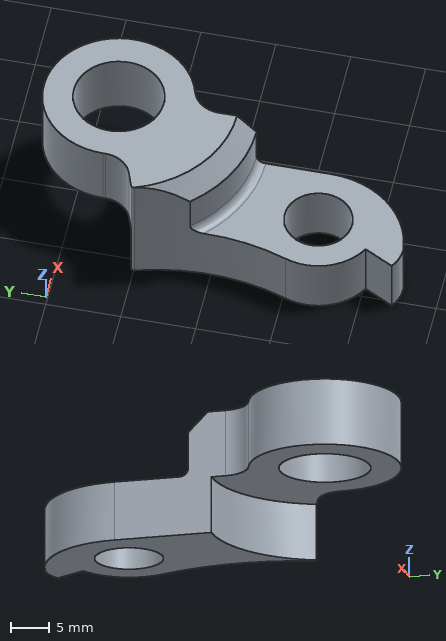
import cadquery as cq
import math


total_height = 16.64
ring_thickness = 9.0
plate_thickness = 8.0

ring_radius = 10.0
ring_hole_radius = 6.0
neck_fillet = 4.0
neck_straight = 0.3

boss_x = -8.0
boss_y = -28.37
boss_radius = 8.0
boss_hole_radius = 4.5

waist_x = -13.5
waist_y = -14.6
corner_y = -4.92
corner_fillet = 0.4

hook_radius = 12.0
hook_blend_x = -10.2
nose_radius = 5.0
hook_tip_x = -13.8
notch_x = -11.7

shoulder_radius = 18.4
shoulder_chamfer = 2.6
shoulder_fillet = 1.2
underside_relief_radius = 15.3

cut_reach = 60.0


def point_on_circle(center, radius, angle):
    return (center[0] + radius * math.cos(angle), center[1] + radius * math.sin(angle))


def direction(start, end):
    return math.atan2(end[1] - start[1], end[0] - start[0])


def arc_to(sketch, center, radius, start, end):
    """Add the shorter arc about center from start to end."""
    chord_middle = ((start[0] + end[0]) / 2, (start[1] + end[1]) / 2)
    middle = point_on_circle(center, radius, direction(center, chord_middle))
    return sketch.threePointArc(middle, end)


def below_circle_center(center, radius, x):
    """Point on the lower half of a circle at the given x."""
    return (x, center[1] - math.sqrt(radius**2 - (x - center[0])**2))


def make_outline_body():
    ring_center = (0, 0)
    boss_center = (boss_x, boss_y)

    right_blend_y = -math.sqrt((ring_radius + neck_fillet)**2 - neck_fillet**2)
    right_blend_center = (neck_fillet, right_blend_y)
    ring_right = point_on_circle(ring_center, ring_radius, direction(ring_center, right_blend_center))
    edge_top = (0, right_blend_y)

    hook_center = (-hook_radius, boss_y)
    edge_bottom = (0, boss_y)
    hook_blend = below_circle_center(hook_center, hook_radius, hook_blend_x)
    nose_center = point_on_circle(
        hook_center, hook_radius - nose_radius, direction(hook_center, hook_blend)
    )
    hook_tip = below_circle_center(nose_center, nose_radius, hook_tip_x)
    notch = below_circle_center(boss_center, boss_radius, notch_x)

    waist_dx = boss_x - waist_x
    waist_dy = boss_y - waist_y
    side_radius = (waist_dx**2 + waist_dy**2 - boss_radius**2) / (2 * (boss_radius - waist_dx))
    side_center = (waist_x - side_radius, waist_y)
    boss_left = point_on_circle(boss_center, boss_radius, direction(boss_center, side_center))
    corner_x = side_center[0] + math.sqrt(side_radius**2 - (corner_y - waist_y)**2)
    corner = (corner_x, corner_y)

    left_blend_center = (-ring_radius - neck_fillet, -neck_straight)
    tangent_angle = direction(corner, left_blend_center) - math.asin(
        neck_fillet / math.dist(corner, left_blend_center)
    )
    left_blend_start = point_on_circle(left_blend_center, neck_fillet, tangent_angle - math.pi / 2)
    left_blend_end = (-ring_radius, -neck_straight)

    ring_left = (-ring_radius, 0)
    ring_far_point = point_on_circle(ring_center, ring_radius, math.pi / 4)

    sketch = cq.Workplane("XY").moveTo(*ring_left)
    sketch = sketch.threePointArc(ring_far_point, ring_right)
    sketch = arc_to(sketch, right_blend_center, neck_fillet, ring_right, edge_top)
    sketch = sketch.lineTo(*edge_bottom)
    sketch = arc_to(sketch, hook_center, hook_radius, edge_bottom, hook_blend)
    sketch = arc_to(sketch, nose_center, nose_radius, hook_blend, hook_tip)
    sketch = sketch.lineTo(*notch)
    sketch = arc_to(sketch, boss_center, boss_radius, notch, boss_left)
    sketch = arc_to(sketch, side_center, side_radius, boss_left, corner)
    sketch = sketch.lineTo(*left_blend_start)
    sketch = arc_to(sketch, left_blend_center, neck_fillet, left_blend_start, left_blend_end)
    body = sketch.close().extrude(total_height)

    corner_edge = cq.selectors.NearestToPointSelector((*corner, total_height / 2))
    return body.edges("|Z").edges(corner_edge).fillet(corner_fillet)


def make_shoulder_cut():
    """Space above the lower plate: chamfer on top, upright wall, fillet at the foot."""
    fillet_center = (shoulder_radius + shoulder_fillet, plate_thickness + shoulder_fillet)
    foot = (fillet_center[0], plate_thickness)
    wall_bottom = (shoulder_radius, fillet_center[1])
    profile = (
        cq.Workplane("XZ")
        .moveTo(shoulder_radius - shoulder_chamfer, total_height)
        .lineTo(shoulder_radius, total_height - shoulder_chamfer)
        .lineTo(*wall_bottom)
    )
    profile = arc_to(profile, fillet_center, shoulder_fillet, wall_bottom, foot)
    profile = profile.lineTo(cut_reach, plate_thickness).lineTo(cut_reach, total_height).close()
    return profile.revolve(360, (0, 0, 0), (0, 1, 0))


def make_underside_relief():
    """Space under the ring."""
    return cq.Workplane("XY").circle(underside_relief_radius).extrude(total_height - ring_thickness)


def make_hole(x, y, radius):
    return cq.Workplane("XY").center(x, y).circle(radius).extrude(total_height)


result = (
    make_outline_body()
    .cut(make_shoulder_cut())
    .cut(make_underside_relief())
    .cut(make_hole(0, 0, ring_hole_radius))
    .cut(make_hole(boss_x, boss_y, boss_hole_radius))
)